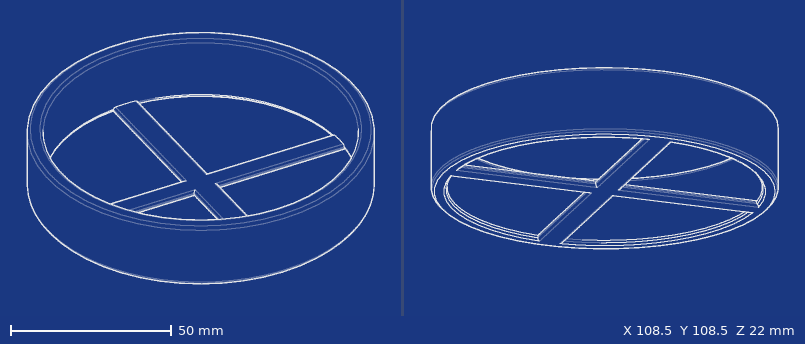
import cadquery as cq
outer_diameter = 108.5
inner_diameter = 98.5
ring_height = 22.0
rim_rounding = 1.0
bottom_chamfer = 1.0
chamfer_blend = 1.0

x_bar_width = 8.5
y_bar_width = 7.0
bar_thickness = 2.0
bar_top_rounding = 0.7
bar_bottom_rounding = 0.85

wall_thickness = (outer_diameter - inner_diameter) / 2
bar_overlap = wall_thickness * 0.45
bar_length = inner_diameter + 2 * bar_overlap


def make_ring():
    """Ring with rounded upper rims and chamfered lower rims blended into the walls."""
    ring = cq.Workplane("XY").circle(outer_diameter / 2).circle(inner_diameter / 2).extrude(ring_height)
    ring = ring.faces(">Z").edges().fillet(rim_rounding)
    ring = ring.faces("<Z").edges().chamfer(bottom_chamfer)

    tolerance = 0.1
    chamfer_tops = cq.selectors.BoxSelector(
        (-outer_diameter, -outer_diameter, bottom_chamfer - tolerance),
        (outer_diameter, outer_diameter, bottom_chamfer + tolerance),
        boundingbox=True,
    )
    return ring.edges(chamfer_tops).fillet(chamfer_blend)


def make_cross():
    """Flat cross of two bars with rounded upper and lower edges."""
    x_bar = cq.Workplane("XY").rect(bar_length, x_bar_width).extrude(bar_thickness)
    y_bar = cq.Workplane("XY").rect(y_bar_width, bar_length).extrude(bar_thickness)
    cross = x_bar.union(y_bar)
    cross = cross.faces(">Z").edges().fillet(bar_top_rounding)
    return cross.faces("<Z").edges().fillet(bar_bottom_rounding)


result = make_ring().union(make_cross())